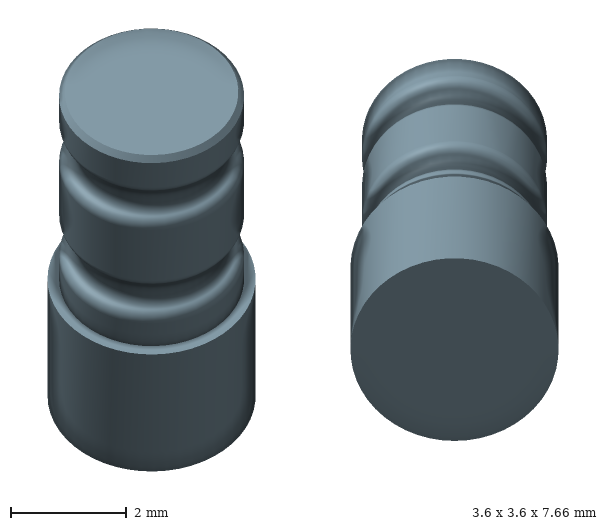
import cadquery as cq
import math

height = 7.66
base_radius = 3.6 / 2
base_height = 2.95

shank_radius = 3.2 / 2
top_chamfer = 0.1

neck_radius = 2.63 / 2
neck_length = 0.31
blend_radius = 0.2
groove_centers = [height - 3.6, height - 1.25]

arc_depth = (shank_radius - neck_radius) / 2
arc_angle = math.acos(1 - arc_depth / blend_radius)
arc_length = blend_radius * math.sin(arc_angle)
middle_radius = neck_radius + arc_depth

half_arc_depth = blend_radius * (1 - math.cos(arc_angle / 2))
half_arc_length = blend_radius * math.sin(arc_angle / 2)


def add_groove(profile, center):
    """Continue the upward-running profile through one ring groove."""
    neck_bottom = center - neck_length / 2
    neck_top = center + neck_length / 2
    groove_bottom = neck_bottom - 2 * arc_length
    groove_top = neck_top + 2 * arc_length

    convex_mid = shank_radius - half_arc_depth
    concave_mid = neck_radius + half_arc_depth
    return (
        profile.lineTo(shank_radius, groove_bottom)
        .threePointArc((convex_mid, groove_bottom + half_arc_length), (middle_radius, neck_bottom - arc_length))
        .threePointArc((concave_mid, neck_bottom - half_arc_length), (neck_radius, neck_bottom))
        .lineTo(neck_radius, neck_top)
        .threePointArc((concave_mid, neck_top + half_arc_length), (middle_radius, neck_top + arc_length))
        .threePointArc((convex_mid, groove_top - half_arc_length), (shank_radius, groove_top))
    )


profile = (
    cq.Workplane("XZ")
    .lineTo(base_radius, 0)
    .lineTo(base_radius, base_height)
    .lineTo(shank_radius, base_height)
)
for groove_center in groove_centers:
    profile = add_groove(profile, groove_center)
profile = (
    profile.lineTo(shank_radius, height - top_chamfer)
    .lineTo(shank_radius - top_chamfer, height)
    .lineTo(0, height)
    .close()
)

result = profile.revolve(360, (0, 0, 0), (0, 1, 0))